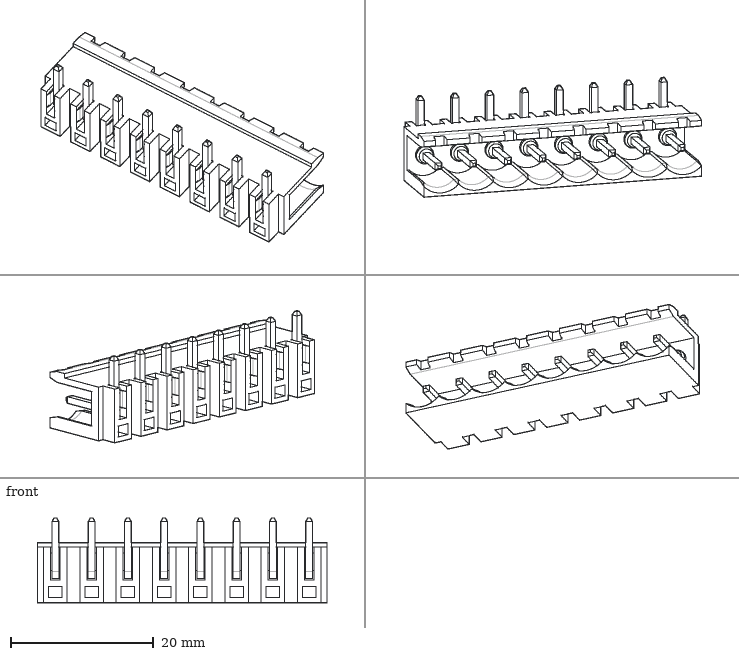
import cadquery as cq

length = 40.65
pole_count = 8
pitch = length / pole_count
pole_positions = [(i - (pole_count - 1) / 2) * pitch for i in range(pole_count)]
total_depth = 12.2
block_depth = 2.35

mouth_y = total_depth - block_depth
back_wall = 1.45
floor_top = 1.85
ceiling = 6.85
roof_top = 7.8
ridge_top = 8.45
ridge_depth = 2.95
lead_in_depth = 1.45
floor_lip_top = 1.5
roof_lip_bottom = 7.3
roof_lip_top = 8.1

pin_size = 0.98
pin_axis_z = 3.95
pin_setback = 0.85
pin_front_y = mouth_y - pin_setback
pin_top_z = 11.9
tip_length = 0.53
tip_size = 0.4
collar_diameter = 2.5
collar_length = 0.98
collar_chamfer_length = 0.5
collar_chamfer_depth = 0.25

trough_radius = 3.05
trough_mouth_radius = 3.5
flare_length = lead_in_depth

notch_mouth_width = 1.7
notch_inner_width = 1.45
notch_depth = 1.1

block_width = 3.3
slot_width = 1.35
slot_floor_z = 3.2
rib_straight_depth = 1.7
rib_bottom_z = 4.55
rib_top_z = 7.05
window_width = 1.85
window_bottom_z = 0.75
window_top_z = 2.3


def box_between(x_range, y_range, z_range):
    sizes = [high - low for low, high in (x_range, y_range, z_range)]
    return cq.Workplane("XY").box(*sizes, centered=False).translate((x_range[0], y_range[0], z_range[0]))


def centred(width):
    return (-width / 2, width / 2)


def at_every_pole(shape):
    """Compound of one copy of the shape at each pole."""
    copies = [shape.translate((x, 0, 0)).val() for x in pole_positions]
    return cq.Workplane("XY").newObject([cq.Compound.makeCompound(copies)])


def housing_shell():
    """C-shaped section, open at the mouth and at both ends."""
    lead_in_y = mouth_y - lead_in_depth
    section = [
        (0, 0),
        (mouth_y, 0),
        (mouth_y, floor_lip_top),
        (lead_in_y, floor_top),
        (back_wall, floor_top),
        (back_wall, ceiling),
        (lead_in_y, ceiling),
        (mouth_y, roof_lip_bottom),
        (mouth_y, roof_lip_top),
        (lead_in_y, ridge_top),
        (mouth_y - ridge_depth, ridge_top),
        (mouth_y - ridge_depth, roof_top),
        (0, roof_top),
    ]
    return cq.Workplane("YZ").polyline(section).close().extrude(length / 2, both=True)


def floor_trough():
    """Half-round trough below the pin axis, widening towards the mouth."""
    half_section = [
        (0, back_wall),
        (trough_radius, back_wall),
        (trough_radius, mouth_y - flare_length),
        (trough_mouth_radius, mouth_y),
        (0, mouth_y),
    ]
    trough = cq.Workplane("XY").polyline(half_section).close().revolve(180, (0, 0, 0), (0, 1, 0))
    return trough.translate((0, 0, pin_axis_z))


def coding_notch():
    """Tapered notch straight through the roof lip."""
    outline = [
        (-notch_mouth_width / 2, mouth_y),
        (-notch_inner_width / 2, mouth_y - notch_depth),
        (notch_inner_width / 2, mouth_y - notch_depth),
        (notch_mouth_width / 2, mouth_y),
    ]
    notch = cq.Workplane("XY").polyline(outline).close().extrude(ridge_top - pin_axis_z)
    return notch.translate((0, 0, pin_axis_z))


def support_block():
    """Block with a pin slot open at the top, guide ribs in the slot and a window below it."""
    depth_range = (-block_depth, 0)
    block = box_between(centred(block_width), depth_range, (0, roof_top))
    slot = box_between(centred(slot_width), depth_range, (slot_floor_z, roof_top))
    window = box_between(centred(window_width), depth_range, (window_bottom_z, window_top_z))
    rib_outline = [
        (slot_width / 2, 0),
        (pin_size / 2, 0),
        (pin_size / 2, -rib_straight_depth),
        (slot_width / 2, -block_depth),
    ]
    rib = cq.Workplane("XY").polyline(rib_outline).close().extrude(rib_top_z - rib_bottom_z)
    rib = rib.translate((0, 0, rib_bottom_z))
    return block.cut(slot).cut(window).union(rib).union(rib.mirror("YZ"))


def pin_tip(plane):
    """Blunt pyramid that ends a pin, grown along the normal of the plane."""
    return (
        cq.Workplane(plane)
        .rect(pin_size, pin_size)
        .workplane(offset=tip_length)
        .rect(tip_size, tip_size)
        .loft(combine=True)
    )


def bent_pin():
    """Square pin with its contact arm along Y, its solder leg along Z and a round bend between."""
    low = pin_axis_z - pin_size / 2
    high = pin_axis_z + pin_size / 2
    arm_end = pin_front_y - tip_length
    leg_end = pin_top_z - tip_length
    bend_offset = pin_size * 0.5**0.5
    wire = (
        cq.Workplane("YZ")
        .moveTo(0, low)
        .lineTo(arm_end, low)
        .lineTo(arm_end, high)
        .lineTo(0, high)
        .lineTo(0, leg_end)
        .lineTo(-pin_size, leg_end)
        .lineTo(-pin_size, high)
        .threePointArc((-bend_offset, high - bend_offset), (0, low))
        .close()
        .extrude(pin_size / 2, both=True)
    )
    arm_tip = pin_tip(cq.Plane((0, arm_end, pin_axis_z), (1, 0, 0), (0, 1, 0)))
    leg_tip = pin_tip(cq.Plane((0, -pin_size / 2, leg_end), (1, 0, 0), (0, 0, 1)))
    return wire.union(arm_tip).union(leg_tip)


def pin_collar():
    """Round collar where the contact arm leaves the back wall, chamfered at its free end."""
    radius = collar_diameter / 2
    end_y = back_wall + collar_length
    half_section = [
        (0, back_wall),
        (radius, back_wall),
        (radius, end_y - collar_chamfer_length),
        (radius - collar_chamfer_depth, end_y),
        (0, end_y),
    ]
    collar = cq.Workplane("XY").polyline(half_section).close().revolve(360, (0, 0, 0), (0, 1, 0))
    return collar.translate((0, 0, pin_axis_z))


housing = housing_shell().cut(at_every_pole(coding_notch()))
for pole_x in pole_positions:
    housing = housing.cut(floor_trough().translate((pole_x, 0, 0)))

contact = bent_pin().union(pin_collar())
result = housing.union(at_every_pole(support_block())).union(at_every_pole(contact))